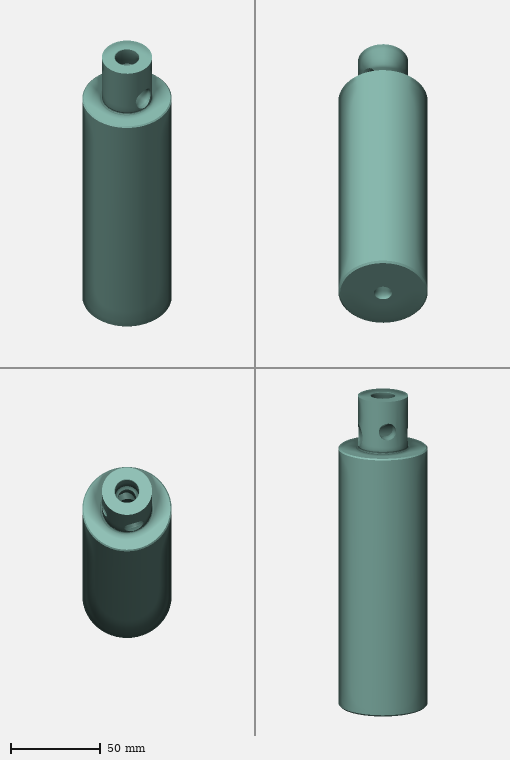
import cadquery as cq
import math

TOTAL_HEIGHT = 180.0
HOUSING_DIAMETER = 50.0
HOUSING_HEIGHT = 150.0
TOP_RIM_CHAMFER = 0.7
BOTTOM_RIM_CHAMFER = 1.0

ROD_DIAMETER = 28.0

GROOVE_REACH = 1.17
GROOVE_RISE = 1.17
GROOVE_SLOPE = math.radians(15)
GROOVE_ROUNDING = 0.7

PASSAGE_DIAMETER = 10.0
SOCKET_MOUTH_DIAMETER = 14.0
SOCKET_CHAMFER = 0.27
SOCKET_DEPTH = 10.8
SOCKET_CONE_SLOPE = math.radians(30)

CROSS_HOLE_DIAMETER = 11.3
CROSS_HOLE_DROP = 22.3
COUNTERSINK_DIAMETER = 13.0
COUNTERSINK_DEPTH = 1.6

SIDE_HOLE_DIAMETER = 9.7
SIDE_HOLE_DROP = 17.5

HOUSING_RADIUS = HOUSING_DIAMETER / 2
ROD_RADIUS = ROD_DIAMETER / 2
COLLAR_TOP = HOUSING_HEIGHT + GROOVE_RISE
PASSAGE_RADIUS = PASSAGE_DIAMETER / 2
SOCKET_MOUTH_RADIUS = SOCKET_MOUTH_DIAMETER / 2
SOCKET_RADIUS = SOCKET_MOUTH_RADIUS - SOCKET_CHAMFER
SOCKET_CONE_HEIGHT = (SOCKET_RADIUS - PASSAGE_RADIUS) * math.tan(SOCKET_CONE_SLOPE)


def revolve_about_z(points):
    """Solid of revolution about Z from (radius, height) points."""
    return cq.Workplane("XZ").polyline(points).close().revolve(360, (0, 0), (0, 1))


def make_groove():
    """Ring cutter: two sloping flanks with a round between them."""
    sine = math.sin(GROOVE_SLOPE)
    cosine = math.cos(GROOVE_SLOPE)
    lower_flank = GROOVE_REACH * cosine + GROOVE_RISE * sine
    upper_flank = GROOVE_REACH * sine + GROOVE_RISE * cosine
    mouth_radius = ROD_RADIUS + GROOVE_REACH
    lower_straight = lower_flank - GROOVE_ROUNDING
    upper_straight = upper_flank - GROOVE_ROUNDING
    lower_tangent = (mouth_radius - lower_straight * cosine, HOUSING_HEIGHT - lower_straight * sine)
    upper_tangent = (ROD_RADIUS - upper_straight * sine, COLLAR_TOP - upper_straight * cosine)
    return (
        cq.Workplane("XZ")
        .moveTo(mouth_radius, HOUSING_HEIGHT)
        .lineTo(*lower_tangent)
        .radiusArc(upper_tangent, GROOVE_ROUNDING)
        .lineTo(ROD_RADIUS, COLLAR_TOP)
        .close()
        .revolve(360, (0, 0), (0, 1))
    )


def make_cross_hole():
    """Cutter along X: a cylinder widening conically towards both rod sides."""
    hole_radius = CROSS_HOLE_DIAMETER / 2
    mouth_radius = COUNTERSINK_DIAMETER / 2
    cone_end = ROD_RADIUS - COUNTERSINK_DEPTH
    outline = cq.Workplane("XY").polyline([
        (-ROD_RADIUS, 0),
        (-ROD_RADIUS, mouth_radius),
        (-cone_end, hole_radius),
        (cone_end, hole_radius),
        (ROD_RADIUS, mouth_radius),
        (ROD_RADIUS, 0),
    ]).close()
    cutter = outline.revolve(360, (0, 0), (1, 0))
    return cutter.translate((0, 0, TOTAL_HEIGHT - CROSS_HOLE_DROP))


def make_side_hole():
    """Cutter from the rod axis out through the +Y side."""
    return (
        cq.Workplane("XZ", origin=(0, 0, TOTAL_HEIGHT - SIDE_HOLE_DROP))
        .circle(SIDE_HOLE_DIAMETER / 2)
        .extrude(-ROD_RADIUS)
    )


def make_housing():
    """Long cylinder with chamfered rims, the passage and a collar undercut by the groove."""
    body = revolve_about_z([
        (PASSAGE_RADIUS, 0),
        (HOUSING_RADIUS - BOTTOM_RIM_CHAMFER, 0),
        (HOUSING_RADIUS, BOTTOM_RIM_CHAMFER),
        (HOUSING_RADIUS, HOUSING_HEIGHT - TOP_RIM_CHAMFER),
        (HOUSING_RADIUS - TOP_RIM_CHAMFER, HOUSING_HEIGHT),
        (ROD_RADIUS, HOUSING_HEIGHT),
        (ROD_RADIUS, COLLAR_TOP),
        (PASSAGE_RADIUS, COLLAR_TOP),
    ])
    return body.cut(make_groove())


def make_rod():
    """Rod with passage, socket, cross hole and side hole."""
    socket_floor = TOTAL_HEIGHT - SOCKET_DEPTH
    body = revolve_about_z([
        (PASSAGE_RADIUS, COLLAR_TOP),
        (ROD_RADIUS, COLLAR_TOP),
        (ROD_RADIUS, TOTAL_HEIGHT),
        (SOCKET_MOUTH_RADIUS, TOTAL_HEIGHT),
        (SOCKET_RADIUS, TOTAL_HEIGHT - SOCKET_CHAMFER),
        (SOCKET_RADIUS, socket_floor),
        (PASSAGE_RADIUS, socket_floor - SOCKET_CONE_HEIGHT),
    ])
    return body.cut(make_cross_hole()).cut(make_side_hole())


housing = make_housing()
rod = make_rod()

result = cq.Compound.makeCompound([*housing.solids().vals(), *rod.solids().vals()])